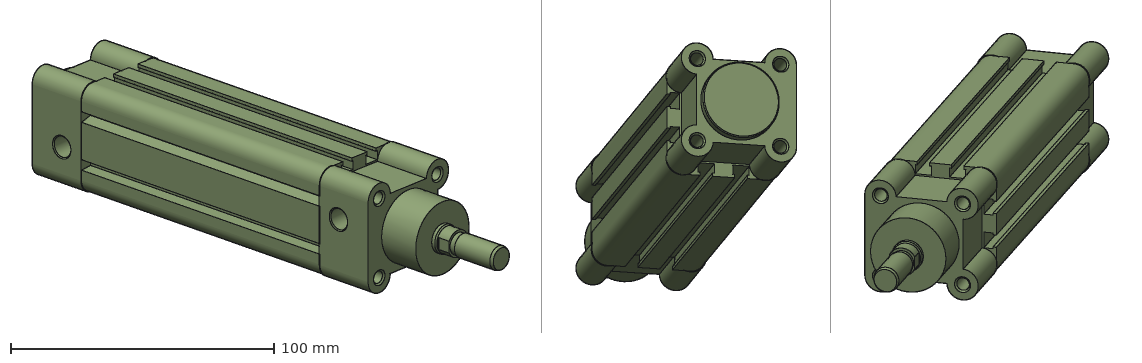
import cadquery as cq


total_length = 226.0
boss_length = 3.8
cap_length = 25.3
barrel_length = 123.5
collar_length = 17.6
barrel_start = boss_length + cap_length
barrel_end = barrel_start + barrel_length
collar_start = barrel_end + cap_length
rod_start = collar_start + collar_length

cap_width = 45.0
cap_half_width = cap_width / 2
screw_offset = 16.3
screw_positions = [(y, z) for y in (-screw_offset, screw_offset) for z in (-screw_offset, screw_offset)]
lobe_radius = cap_half_width - screw_offset
cap_waist = 16.5

screw_radius = 2.5
screw_chamfer = 0.7

boss_radius = 15.0
boss_chamfer = 0.5

port_radius = 4.3
port_chamfer = 0.5
port_depth = 11.3
port_distance = 15.4
port_height = 5.2

barrel_half_width = 22.1
barrel_corner_radius = 5.9

channel_floor = 17.2

slot_center = 6.8
slot_mouth_width = 5.0
slot_inner_width = 6.3
slot_lip = 1.4

groove_inner_edge = 7.7
groove_outer_edge = 12.0
groove_floor_inner = 9.0
groove_floor_outer = 11.5

rod_diameter = 12.0
shank_diameter = 11.0
thread_radius = 5.0
rod_radius = rod_diameter / 2
shank_radius = shank_diameter / 2
neck_radius = 4.5
width_across_flats = 10.0
shoulder_length = 1.5
shoulder_chamfer = 0.7
flat_offset = 2.7
neck_offset = 8.1
flat_start = rod_start + flat_offset
neck_start = rod_start + neck_offset
neck_length = 1.4
neck_taper = 1.4
thread_chamfer_length = 1.4


def section_plane(x):
    """Plane across the axis at x: local x is +Y, local y is +Z, extrusion goes to +X."""
    return cq.Workplane("YZ", origin=(x, 0, 0))


def cap_body(start):
    """Cap block: a square core with four round lobes, filled out to a flat -Y face."""
    core = section_plane(start).rect(2 * cap_waist, 2 * cap_waist).extrude(cap_length)
    lobes = section_plane(start).pushPoints(screw_positions).circle(lobe_radius).extrude(cap_length)
    port_side = (
        section_plane(start)
        .center(-cap_half_width / 2, 0)
        .rect(cap_half_width, 2 * screw_offset)
        .extrude(cap_length)
    )
    return core.union(lobes).union(port_side)


def screw_holes(start, outer_face):
    """Four holes along the whole cap, countersunk at its outer face."""
    bores = section_plane(start).pushPoints(screw_positions).circle(screw_radius).extrude(cap_length)
    inward = 1 if outer_face == start else -1
    for y, z in screw_positions:
        bores = bores.union(
            cq.Workplane(
                cq.Solid.makeCone(
                    screw_radius + screw_chamfer,
                    screw_radius,
                    screw_chamfer,
                    pnt=cq.Vector(outer_face, y, z),
                    dir=cq.Vector(inward, 0, 0),
                )
            )
        )
    return bores


def air_port(x, z):
    """Blind hole from the -Y face with a chamfered rim."""
    mouth = cq.Vector(x, -cap_half_width, z)
    inward = cq.Vector(0, 1, 0)
    bore = cq.Solid.makeCylinder(port_radius, port_depth, mouth, inward)
    rim = cq.Solid.makeCone(port_radius + port_chamfer, port_radius, port_chamfer, mouth, inward)
    return cq.Workplane(bore).union(cq.Workplane(rim))


def build_rear_cap():
    boss = section_plane(0).circle(boss_radius).extrude(boss_length).faces("<X").chamfer(boss_chamfer)
    cap = cap_body(boss_length).union(boss)
    cap = cap.cut(screw_holes(boss_length, boss_length))
    return cap.cut(air_port(boss_length + port_distance, -port_height))


def build_front_cap():
    collar = section_plane(collar_start).circle(boss_radius).extrude(collar_length)
    cap = cap_body(barrel_end).union(collar)
    cap = cap.cut(screw_holes(barrel_end, collar_start))
    return cap.cut(air_port(collar_start - port_distance, port_height))


def t_slot(side):
    """T-slot in the +Z face, on the given side (-1 or +1) of the face's middle."""
    half_mouth = slot_mouth_width / 2
    half_inner = slot_inner_width / 2
    lip_bottom = barrel_half_width - slot_lip
    center = side * slot_center
    return (
        section_plane(barrel_start)
        .moveTo(center - half_mouth, barrel_half_width)
        .lineTo(center - half_mouth, lip_bottom)
        .lineTo(center - half_inner, lip_bottom)
        .lineTo(center - half_inner, channel_floor)
        .lineTo(center + half_inner, channel_floor)
        .lineTo(center + half_inner, lip_bottom)
        .lineTo(center + half_mouth, lip_bottom)
        .lineTo(center + half_mouth, barrel_half_width)
        .close()
        .extrude(barrel_length)
    )


def tapered_groove(side):
    """Groove with sloping walls in the -Y face, above (+1) or below (-1) its middle."""
    return (
        section_plane(barrel_start)
        .moveTo(-barrel_half_width, side * groove_inner_edge)
        .lineTo(-channel_floor, side * groove_floor_inner)
        .lineTo(-channel_floor, side * groove_floor_outer)
        .lineTo(-barrel_half_width, side * groove_outer_edge)
        .close()
        .extrude(barrel_length)
    )


def build_barrel():
    barrel = (
        section_plane(barrel_start)
        .rect(2 * barrel_half_width, 2 * barrel_half_width)
        .extrude(barrel_length)
        .edges("|X")
        .fillet(barrel_corner_radius)
    )
    for side in (-1, 1):
        barrel = barrel.cut(tapered_groove(side))
        for face_angle in (0, -90, 180):
            barrel = barrel.cut(t_slot(side).rotate((0, 0, 0), (1, 0, 0), face_angle))
    return barrel


def build_rod():
    """Turned rod with a shoulder, two wrench flats, an undercut neck and a thread."""
    shoulder_end = rod_start + shoulder_length
    neck_end = neck_start + neck_length
    rod = (
        cq.Workplane("XY")
        .moveTo(rod_start, 0)
        .lineTo(rod_start, rod_radius)
        .lineTo(shoulder_end, rod_radius)
        .lineTo(shoulder_end + shoulder_chamfer, shank_radius)
        .lineTo(neck_start, shank_radius)
        .lineTo(neck_start, neck_radius)
        .lineTo(neck_end, neck_radius)
        .lineTo(neck_end + neck_taper, thread_radius)
        .lineTo(total_length - thread_chamfer_length, thread_radius)
        .lineTo(total_length, neck_radius)
        .lineTo(total_length, 0)
        .close()
        .revolve(360, (0, 0, 0), (1, 0, 0))
    )
    flat_length = neck_start - flat_start
    for side in (-1, 1):
        waste = (
            cq.Workplane("XY")
            .box(flat_length, rod_radius, 2 * rod_radius, centered=(False, True, True))
            .translate((flat_start, side * (width_across_flats + rod_radius) / 2, 0))
        )
        rod = rod.cut(waste)
    return rod


rear_cap = build_rear_cap()
barrel = build_barrel()
front_cap = build_front_cap()
rod = build_rod()

result = cq.Compound.makeCompound([rear_cap.val(), barrel.val(), front_cap.val(), rod.val()])